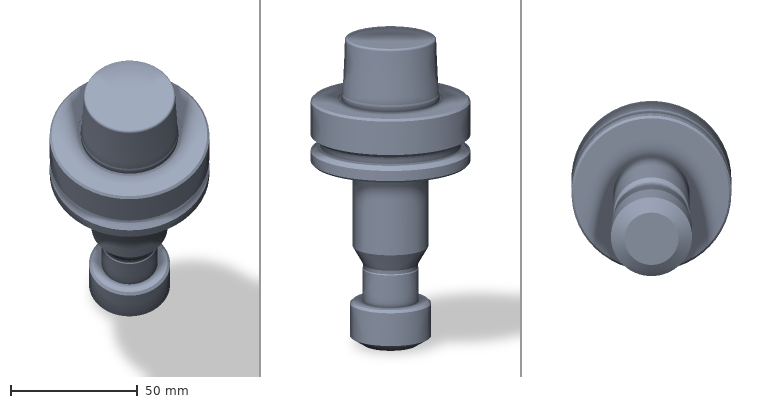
import cadquery as cq

total_height = 124.9

head_radius = 16.0
head_tip_radius = 10.6
head_bottom_bevel = 3.4
head_top = 17.7
head_top_bevel = 1.0

neck_radius = 11.1
neck_top = 30.9
relief_radius = 10.7
relief_bevel = 0.4
cone_bottom = 32.7

shank_radius = 15.0
shank_bottom = 40.1
collar_radius = 15.2
collar_bottom = 73.3

flange_radius = 31.5
flange_bottom = 74.0
flange_top = 99.9
flange_bevel = 0.9
groove_floor_radius = 27.6
groove_middle = 82.2
groove_half_width = 1.7
groove_corner_radius = 0.5
groove_ledge_radius = 29.4
groove_rim_half_width = 3.2

recess_radius = 20.7
recess_depth = 0.2

base_band_radius = 19.2
base_band_top = 101.7
taper_bottom = 102.4
taper_bottom_radius = 19.0
taper_top_radius = 18.0
taper_top_round = 0.9


def add_head(outline):
    return (
        outline.lineTo(head_tip_radius, 0)
        .lineTo(head_radius, head_bottom_bevel)
        .lineTo(head_radius, head_top - head_top_bevel)
        .lineTo(head_radius - head_top_bevel, head_top)
    )


def add_neck_and_shank(outline):
    return (
        outline.lineTo(neck_radius, head_top)
        .lineTo(neck_radius, neck_top)
        .lineTo(relief_radius, neck_top + relief_bevel)
        .lineTo(relief_radius, cone_bottom)
        .lineTo(shank_radius, shank_bottom)
        .lineTo(shank_radius, collar_bottom)
        .lineTo(collar_radius, collar_bottom)
        .lineTo(collar_radius, flange_bottom)
    )


def add_flange(outline):
    return (
        outline.lineTo(flange_radius - flange_bevel, flange_bottom)
        .lineTo(flange_radius, flange_bottom + flange_bevel)
        .lineTo(flange_radius, groove_middle - groove_rim_half_width)
        .lineTo(groove_ledge_radius, groove_middle - groove_half_width)
        .lineTo(groove_floor_radius + groove_corner_radius, groove_middle - groove_half_width)
        .tangentArcPoint((-groove_corner_radius, groove_corner_radius))
        .lineTo(groove_floor_radius, groove_middle + groove_half_width - groove_corner_radius)
        .tangentArcPoint((groove_corner_radius, groove_corner_radius))
        .lineTo(groove_ledge_radius, groove_middle + groove_half_width)
        .lineTo(flange_radius, groove_middle + groove_rim_half_width)
        .lineTo(flange_radius, flange_top - flange_bevel)
        .lineTo(flange_radius - flange_bevel, flange_top)
        .lineTo(recess_radius, flange_top)
        .lineTo(recess_radius, flange_top - recess_depth)
    )


def add_taper(outline):
    return (
        outline.lineTo(base_band_radius, flange_top - recess_depth)
        .lineTo(base_band_radius, base_band_top)
        .lineTo(taper_bottom_radius, taper_bottom)
        .lineTo(taper_top_radius, total_height - taper_top_round)
        .tangentArcPoint((-taper_top_round, taper_top_round))
        .lineTo(0, total_height)
    )


half_section = cq.Workplane("XZ").moveTo(0, 0)
for add_section in (add_head, add_neck_and_shank, add_flange, add_taper):
    half_section = add_section(half_section)

result = half_section.close().revolve(360, (0, 0, 0), (0, 1, 0))